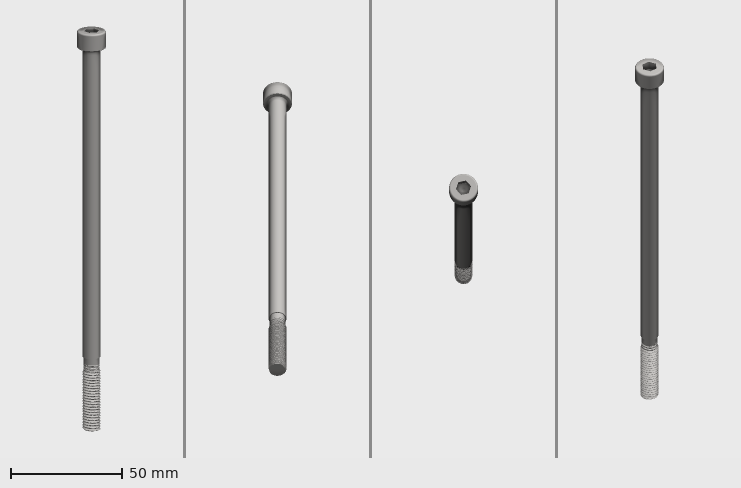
import cadquery as cq
import math

diameter = 8.0
pitch = 1.25
length = 180.0
head_diameter = 13.0
socket_width = 6.0
thread_length = 28.0

head_height = diameter
head_top_round = 0.8
head_seat_chamfer = 0.3
seat_fillet_width = 0.6
seat_fillet_height = 1.3
socket_depth = head_height / 2
socket_turn = 30
socket_corner_diameter = socket_width / math.cos(math.pi / 6)
drill_point_angle = math.radians(120)
drill_point_depth = socket_width / 2 / math.tan(drill_point_angle / 2)

flank_slope = math.tan(math.pi / 6)
sharp_height = pitch / (2 * flank_slope)
crest_radius = diameter / 2
pitch_radius = crest_radius - 3 / 8 * sharp_height
root_radius = crest_radius - 17 / 24 * sharp_height
twist_rate = -360 / pitch
tip_ridge_angle = 90.0
flank_steps = 6

tip = -length
full_thread_start = thread_length - length
neck_thread_start = full_thread_start + 2.5 * pitch
shank_end = full_thread_start + 5 * pitch


def make_head():
    head = cq.Workplane("XY").circle(head_diameter / 2).extrude(head_height)
    head = head.faces(">Z").edges().fillet(head_top_round)
    return head.faces("<Z").edges().chamfer(head_seat_chamfer)


def make_socket():
    """Hexagonal recess with two flats facing X and a conical drill point at its floor."""
    floor = head_height - socket_depth
    hexagon = (
        cq.Workplane("XY", origin=(0, 0, floor))
        .transformed(rotate=(0, 0, socket_turn))
        .polygon(6, socket_corner_diameter)
        .extrude(socket_depth)
    )
    drill_point = (
        cq.Workplane("XZ")
        .moveTo(0, floor - drill_point_depth)
        .lineTo(socket_width / 2, floor)
        .lineTo(0, floor)
        .close()
        .revolve(360, (0, 0, 0), (0, 1, 0))
    )
    return hexagon.union(drill_point)


def make_shank():
    """Plain shank with its fillet below the head."""
    return (
        cq.Workplane("XZ")
        .moveTo(0, shank_end)
        .lineTo(crest_radius, shank_end)
        .lineTo(crest_radius, -seat_fillet_height)
        .tangentArcPoint((crest_radius + seat_fillet_width, 0), relative=False)
        .lineTo(0, 0)
        .close()
        .revolve(360, (0, 0, 0), (0, 1, 0))
    )


def polar(radius, angle):
    return (radius * math.cos(angle), radius * math.sin(angle))


def half_ridge_angle(radius):
    """Half the angle that the ridge spans in a section across the axis; half a turn is half a pitch."""
    half_ridge_width = pitch / 4 - (radius - pitch_radius) * flank_slope
    return 2 * math.pi * half_ridge_width / pitch


def flank_point(radius, side):
    """Point of a flank in a section; the ridge is centred on +X and side is +1 or -1."""
    return polar(radius, side * half_ridge_angle(radius))


def add_flank(section, start_radius, end_radius, side):
    """Continue a section along the spiral that a flank makes across the axis."""
    step = (end_radius - start_radius) / flank_steps
    radii = [start_radius + step * i for i in range(1, flank_steps + 1)]
    return section.spline([flank_point(radius, side) for radius in radii], includeCurrent=True)


def section_plane(level):
    """Workplane across the axis, turned so that the ridge at this level is on its X direction."""
    turn = tip_ridge_angle + twist_rate * (level - tip)
    return cq.Workplane("XY", origin=(0, 0, level)).transformed(rotate=(0, 0, turn))


def make_thread(radii, bottom, top):
    """Thread made by twisting its section; radii run from the root to the crest."""
    root, crest = radii[0], radii[-1]
    section = section_plane(bottom).moveTo(*flank_point(crest, -1))
    section = section.threePointArc((crest, 0), flank_point(crest, 1))
    for inner, outer in reversed(list(zip(radii, radii[1:]))):
        section = add_flank(section, outer, inner, 1)
    section = section.threePointArc((-root, 0), flank_point(root, -1))
    for inner, outer in zip(radii, radii[1:]):
        section = add_flank(section, inner, outer, -1)
    return section.close().twistExtrude(top - bottom, twist_rate * (top - bottom))


def make_step(inner, outer, middle_x, level):
    """Flat face between two radii and the flanks, on the ridge (middle_x = 1) or the groove (-1)."""
    outline = section_plane(level).moveTo(*flank_point(outer, -1))
    outline = outline.threePointArc((middle_x * outer, 0), flank_point(outer, 1))
    outline = add_flank(outline, outer, inner, 1)
    outline = outline.threePointArc((middle_x * inner, 0), flank_point(inner, -1))
    outline = add_flank(outline, inner, outer, -1).close()
    return cq.Face.makeFromWires(outline.val())


def make_neck():
    """Plain neck, its circle split where the flanks of the thread below reach it."""
    return (
        section_plane(neck_thread_start)
        .moveTo(*flank_point(pitch_radius, -1))
        .threePointArc((pitch_radius, 0), flank_point(pitch_radius, 1))
        .threePointArc((-pitch_radius, 0), flank_point(pitch_radius, -1))
        .close()
        .extrude(shank_end - neck_thread_start)
    )


plain_part = make_head().union(make_shank()).cut(make_socket()).union(make_neck(), clean=False)
neck_thread = make_thread([root_radius, pitch_radius], full_thread_start, neck_thread_start)
full_thread = make_thread([root_radius, pitch_radius, crest_radius], tip, full_thread_start)

skin = plain_part.faces("not <Z").vals()
skin += neck_thread.faces("not |Z").vals()
skin += full_thread.faces("not >Z").vals()
skin.append(make_step(root_radius, pitch_radius, -1, neck_thread_start))
skin.append(make_step(pitch_radius, crest_radius, 1, full_thread_start))

sewing_tolerance = 1e-3
closed_skin = cq.occ_impl.shapes.shell(skin, tol=sewing_tolerance)
result = cq.Workplane(cq.Solid.makeSolid(closed_skin))